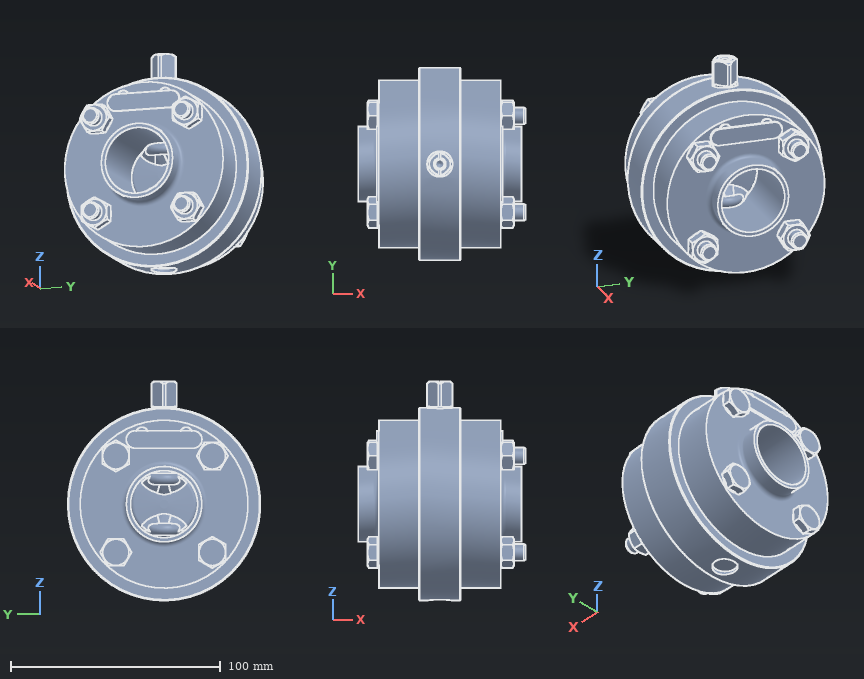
import cadquery as cq
import math


band_dia = 92.0
band_width = 19.9
band_chamfer = 0.4
flange_dia = 80.0
flange_face = 29.0
pipe_dia = 36.0
pipe_end = 39.0
pipe_fillet = 2.5
bore_dia = 32.0

bolt_offset = 23.0
hex_flats = 13.0
hex_chamfer_dia = 12.5
hex_chamfer_angle = 30.0
washer_face_dia = 12.2
washer_face_height = 0.7
head_height = 4.7
nut_height = 6.4
stud_dia = 8.0
stud_end = 41.1
stud_tip_dia = 6.8
stud_tip_length = 0.9

plate_length = 36.2
plate_height = 8.3
plate_thickness = 1.0
plate_center_z = 30.8
recess_dia = 5.6
recess_depth = 0.5
recess_y = 10.6
recess_z = 33.9

stem_dia = 12.2
stem_flats = 9.6
stem_top = 58.5
stem_bottom = 46.5
stem_top_dia = 10.0
stem_chamfer_height = 1.0
neck_dia = 10.0
stem_seat_dia = 12.2
stem_seat_depth = 2.1
stem_hole_dia = 4.2
stem_hole_depth = 5.2
stem_hole_rim_dia = 5.9
drill_angle = 118.0
slot_width = 1.0
slot_depth = 0.5

disc_hub_dia = 4.2
disc_face_dia = 28.2
disc_center_half = 3.1
disc_edge_half = 2.6
rim_radius = (bore_dia - disc_face_dia) / 2
rim_overlap = 1.0

boss_dia = 18.2
boss_inner_z = 9.2
boss_outer_z = 14.8
flare_center_z = 17.3
flare_base_radius = 12.9
flare_top_radius = 8.6
flare_top_x = 5.7
ridge_tip_z = 3.9
ridge_shoulder_z = 4.7
ridge_half_width = 3.3
ridge_crest_half_width = 2.1
ridge_crest_x = 6.3


def x_cylinder(diameter, x_start, x_end, y=0.0, z=0.0):
    """Cylinder along X between two X positions."""
    return cq.Workplane("YZ", origin=(x_start, y, z)).circle(diameter / 2).extrude(x_end - x_start)


def z_cylinder(diameter, z_start, z_end):
    """Cylinder about the Z axis between two heights."""
    return cq.Workplane("XY").workplane(offset=z_start).circle(diameter / 2).extrude(z_end - z_start)


def make_body():
    """Flanges, central band and pipe ends, with the bore through them."""
    body = x_cylinder(flange_dia, -flange_face, flange_face)
    body = body.union(x_cylinder(pipe_dia, -pipe_end, pipe_end))
    smallest_circle = cq.selectors.RadiusNthSelector(0)
    for flange_face_selector in ("<X[1]", ">X[1]"):
        pipe_root = body.faces("%PLANE").faces(flange_face_selector).edges(smallest_circle)
        body = pipe_root.fillet(pipe_fillet)
    band = x_cylinder(band_dia, -band_width / 2, band_width / 2)
    band = band.edges("%CIRCLE").chamfer(band_chamfer)
    body = body.union(band)
    return body.cut(x_cylinder(bore_dia, -pipe_end, pipe_end))


def make_hex(x_start, height, chamfer_start, corner_angle):
    """Hexagon along +X from x_start, corners chamfered on its outer end and optionally its start."""
    corner_dia = hex_flats / math.cos(math.pi / 6)
    drop = (corner_dia - hex_chamfer_dia) / 2 * math.tan(math.radians(hex_chamfer_angle))
    hexagon = cq.Workplane("YZ").polygon(6, corner_dia).extrude(height)
    start_radius = hex_chamfer_dia / 2 if chamfer_start else corner_dia / 2
    envelope = cq.Workplane("XY").lineTo(0, start_radius)
    if chamfer_start:
        envelope = envelope.lineTo(drop, corner_dia / 2)
    envelope = (
        envelope.lineTo(height - drop, corner_dia / 2)
        .lineTo(height, hex_chamfer_dia / 2)
        .lineTo(height, 0)
        .close()
        .revolve(360, (0, 0, 0), (1, 0, 0))
    )
    hexagon = hexagon.intersect(envelope)
    return hexagon.rotate((0, 0, 0), (1, 0, 0), corner_angle).translate((x_start, 0, 0))


def make_bolt(corner_angle):
    """Pieces of a bolt on the X axis: head and washer face at -X, nut and stud end at +X."""
    head_start = flange_face + washer_face_height
    head = make_hex(head_start, head_height, False, corner_angle).mirror("YZ")
    washer_face = x_cylinder(washer_face_dia, -head_start, -flange_face)
    nut = make_hex(flange_face, nut_height, True, corner_angle)
    stud = x_cylinder(stud_dia, flange_face, stud_end)
    stud = stud.faces(">X").chamfer(stud_tip_length, (stud_dia - stud_tip_dia) / 2)
    return [head, washer_face, nut, stud]


def add_bolts(body):
    for y_side in (-1, 1):
        for z_side in (-1, 1):
            corner_angle = 90 if y_side == z_side else 0
            for piece in make_bolt(corner_angle):
                body = body.union(piece.translate((0, y_side * bolt_offset, z_side * bolt_offset)))
    return body


def add_label_plates(body):
    plate = (
        cq.Workplane("YZ", origin=(flange_face, 0, plate_center_z))
        .slot2D(plate_length, plate_height)
        .extrude(plate_thickness)
    )
    for y in (-recess_y, recess_y):
        recess = x_cylinder(recess_dia, flange_face - recess_depth, flange_face, y, recess_z)
        body = body.cut(recess).cut(recess.mirror("YZ"))
    return body.union(plate).union(plate.mirror("YZ"))


def make_stem():
    """Square stem with rounded corners, a slotted and drilled top, and a round neck."""
    height = stem_top - stem_bottom
    stem = z_cylinder(stem_dia, stem_bottom, stem_top)
    stem = stem.faces(">Z").chamfer(stem_chamfer_height, (stem_dia - stem_top_dia) / 2)
    square = cq.Workplane("XY").workplane(offset=stem_bottom).rect(stem_flats, stem_flats).extrude(height)
    stem = stem.intersect(square.rotate((0, 0, 0), (0, 0, 1), 45))
    stem = stem.union(z_cylinder(neck_dia, band_dia / 2 - stem_seat_depth, stem_bottom))

    hole_radius = stem_hole_dia / 2
    rim_radius_top = stem_hole_rim_dia / 2
    hole_floor = stem_top - stem_hole_depth
    point_height = hole_radius / math.tan(math.radians(drill_angle / 2))
    hole = (
        cq.Workplane("XZ")
        .moveTo(0, stem_top)
        .lineTo(rim_radius_top, stem_top)
        .lineTo(hole_radius, stem_top - (rim_radius_top - hole_radius))
        .lineTo(hole_radius, hole_floor)
        .lineTo(0, hole_floor - point_height)
        .close()
        .revolve(360, (0, 0, 0), (0, 1, 0))
    )
    slot = cq.Workplane("XY", origin=(0, 0, stem_top)).rect(slot_width, stem_dia).extrude(-slot_depth)
    return stem.cut(hole).cut(slot)


def add_stem(body):
    seat = z_cylinder(stem_seat_dia, band_dia / 2 - stem_seat_depth, band_dia / 2)
    body = body.cut(seat).cut(seat.mirror("XY"))
    return body.union(make_stem())


def make_disc():
    """Disc with shallow conical faces and a rounded rim seated in the body."""
    face_radius = disc_face_dia / 2
    rim_half = disc_edge_half - rim_radius
    arc_reach = rim_radius * math.sin(math.pi / 4)
    seat_radius = bore_dia / 2 + rim_overlap
    half = (
        cq.Workplane("XY")
        .lineTo(disc_center_half, 0)
        .lineTo(disc_center_half, disc_hub_dia / 2)
        .lineTo(disc_edge_half, face_radius)
        .threePointArc((rim_half + arc_reach, face_radius + arc_reach), (rim_half, bore_dia / 2))
        .lineTo(rim_half, seat_radius)
        .lineTo(0, seat_radius)
        .close()
        .revolve(360, (0, 0, 0), (1, 0, 0))
    )
    return half.union(half.mirror("YZ"))


def make_boss():
    """Upper stem boss: a round pad about Z with a fully rounded edge."""
    edge_radius = (boss_outer_z - boss_inner_z) / 2
    flat_radius = boss_dia / 2 - edge_radius
    return (
        cq.Workplane("XZ")
        .moveTo(0, boss_inner_z)
        .lineTo(flat_radius, boss_inner_z)
        .threePointArc((boss_dia / 2, boss_inner_z + edge_radius), (flat_radius, boss_outer_z))
        .lineTo(0, boss_outer_z)
        .close()
        .revolve(360, (0, 0, 0), (0, 1, 0))
    )


def make_flare():
    """Cone along X that spreads the upper boss onto the disc face, kept inside the rim."""
    cone = cq.Workplane("XY").add(
        cq.Solid.makeCone(
            flare_base_radius,
            flare_top_radius,
            flare_top_x - disc_edge_half,
            cq.Vector(disc_edge_half, 0, flare_center_z),
            cq.Vector(1, 0, 0),
        )
    )
    cone = cone.union(x_cylinder(2 * flare_base_radius, 0, disc_edge_half, z=flare_center_z))
    limit = x_cylinder(2 * boss_outer_z, 0, flare_top_x)
    return cone.intersect(limit)


def make_ridge():
    """Faceted ridge running from the disc face up to the inner end of the upper boss."""
    base_x = disc_edge_half
    tip = (base_x, 0, ridge_tip_z)
    shoulders = [(base_x, side * ridge_half_width, ridge_shoulder_z) for side in (-1, 1)]
    backs = [(base_x, side * ridge_half_width, boss_inner_z) for side in (-1, 1)]
    crests = [(ridge_crest_x, side * ridge_crest_half_width, boss_inner_z) for side in (-1, 1)]
    outlines = [
        [tip, shoulders[1], backs[1], backs[0], shoulders[0]],
        [backs[0], backs[1], crests[1], crests[0]],
        [tip, crests[0], crests[1]],
    ]
    for shoulder, back, crest in zip(shoulders, backs, crests):
        outlines.append([tip, shoulder, crest])
        outlines.append([shoulder, back, crest])
    faces = []
    for outline in outlines:
        wire = cq.Wire.makePolygon([cq.Vector(*point) for point in outline], close=True)
        faces.append(cq.Face.makeFromWires(wire))
    return cq.Workplane("XY").add(cq.Solid.makeSolid(cq.Shell.makeShell(faces)))


def add_disc(body):
    disc = make_disc()
    boss = make_boss()
    side = make_flare().union(make_ridge())
    upper = boss.union(side).union(side.mirror("YZ"))
    disc = disc.union(upper).union(upper.mirror("XY"))
    return body.union(disc)


result = make_body()
result = add_bolts(result)
result = add_label_plates(result)
result = add_stem(result)
result = add_disc(result)